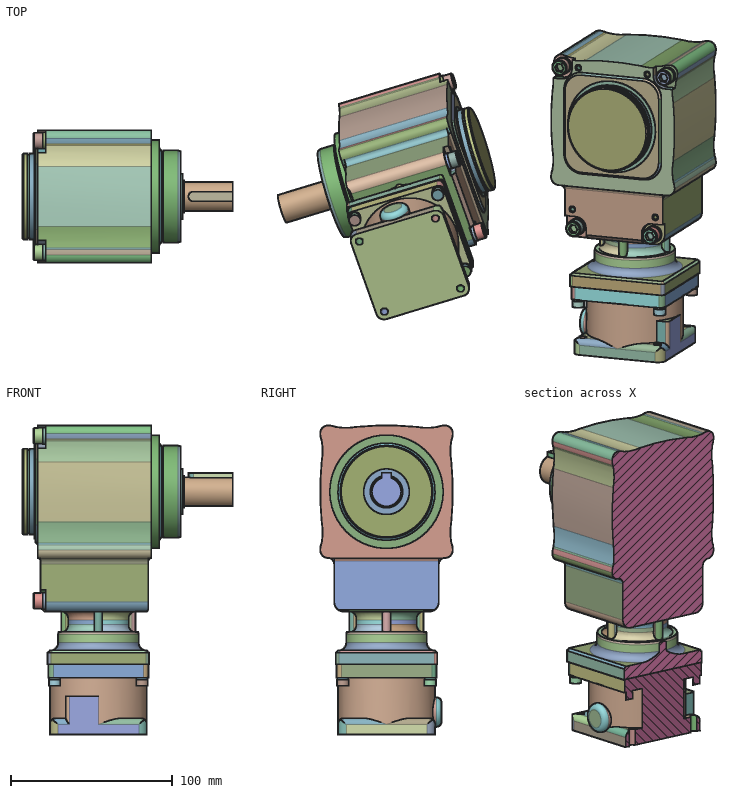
import cadquery as cq
import math


HOUSING_HALF = 41.0
HOUSING_BACK = -37.5
HOUSING_FRONT = 32.7
CORNER_RADIUS = 5.0
LOBE_TANGENT = HOUSING_HALF - CORNER_RADIUS
LOBE_MIDDLE = (34.3, 40.85)
LOBE_FOOT = (32.7, 40.5)
VALLEY_END = (31.6, 40.1)
VALLEY_MIDDLE = (25.5, 39.5)
BULGE_END = (18.5, 40.1)

BLOCK_STEP = 1.75
BLOCK_BACK = HOUSING_BACK + BLOCK_STEP
BLOCK_FRONT = HOUSING_FRONT - BLOCK_STEP
BLOCK_HALF = 32.4
BLOCK_BOTTOM = -74.1
BLOCK_CORNER_RADIUS = 6.2
BLOCK_BACK_CHAMFER = 2.6
BLOCK_FRONT_CHAMFER = 1.3
BLOCK_COVE = 3.6

SCREW_SEAT = -32.5
WASHER_THICKNESS = 1.9
WASHER_DIAMETER = 10.2
SCREW_HEAD_END = -40.1
SCREW_HEAD_DIAMETER = 9.8
SCREW_EDGE_CHAMFER = 0.6
HEX_ACROSS_CORNERS = 5.8
HEX_DEPTH = 3.0
UPPER_SCREW = (34.5, 34.5)
UPPER_SEAT_RADIUS = 7.6
LOWER_SCREW = (25.4, -67.4)
LOWER_SEAT_RADIUS = 7.0

UPPER_HOLE = (22.8, 35.0)
LOWER_HOLE = (27.5, -56.0)
THREAD_DIAMETER = 2.8
THREAD_MOUTH_DIAMETER = 4.0
THREAD_DEPTH = 6.0

PAD_HALF = 32.3
PAD_CORNER_RADIUS = 12.0
PAD_THICKNESS = 1.6
PAD_CHAMFER = 1.3
PAD_FACE = HOUSING_BACK - PAD_THICKNESS
DISC_RADIUS = 29.0
DISC_FACE = -39.5
CAP_RADIUS = 26.6
CAP_GROOVE_RADIUS = 25.8
CAP_GROOVE = (-43.8, -42.6)
CAP_END = -47.0
CAP_CHAMFER = 0.8

FLANGE_RADIUS = 35.0
FLANGE_END = 37.7
NECK_FOOT_RADIUS = 30.0
NECK_RADIUS = 27.8
NECK_START = 39.2
BOSS_START = 40.1
BOSS_RADIUS = 28.6
BOSS_CHAMFER_START = 48.9
BOSS_END_RADIUS = 28.0
BOSS_END = 50.9
SEAL_RADIUS = 14.1
SEAL_END = 52.2
LIP_RADIUS = 10.0
LIP_END = 52.9
SHAFT_RADIUS = 9.0
SHAFT_END = 83.0
KEY_WIDTH = 6.0
KEY_START = 55.6
KEY_TOP = 11.6
KEY_BOTTOM = 5.5

NECK_TOP_FLARE = 22.0
WAIST_RADIUS = 18.9
WAIST_TOP = -79.1
WAIST_BOTTOM = -81.7
RING_RADIUS = 25.0
RING_TOP = -86.6
RING_BOTTOM = -93.0
RING_CHAMFER_INSET = 0.4
RING_CHAMFER_HEIGHT = 1.3
SKIRT_RADIUS = 29.3
RIB_NOSE_RADIUS = 2.5
RIB_NOSE_CENTRE = 20.5
RIB_COUNT = 4

UPPER_PLATE = 62.8
UPPER_PLATE_TOP = -98.0
UPPER_PLATE_CORNER = 2.0
UPPER_PLATE_CHAMFER = 1.5
JOINT = -106.6
LOWER_PLATE = 62.0
LOWER_PLATE_BOTTOM = -114.8
LOWER_PLATE_CORNER = 3.2

PLATE_SCREW_PITCH = 54.0
PLATE_SCREW_DIAMETER = 7.2
PLATE_SCREW_END = -119.9
PLATE_WASHER_THICKNESS = 1.2
PLATE_WASHER_DIAMETER = 7.0
BARREL_RADIUS = 30.0
BASE_SIDE = 2 * BARREL_RADIUS
BASE_TOP = -139.8
BASE_BOTTOM = -150.0
BASE_EDGE_RADIUS = 3.8
BASE_CORNER_RADIUS = 5.0
BASE_HOLE_CIRCLE = 70.0
BASE_HOLE_DIAMETER = 4.5
POCKET_BLOCK_WIDTH = 20.0
POCKET_BLOCK_TOP = -126.2
POCKET_BLOCK_RADIUS = 2.0
PLUG_RADIUS = 9.2
PLUG_HEIGHT = -136.1
PLUG_END = 34.1
PLUG_EDGE_RADIUS = 3.5


def revolve_about_x(points):
    """Solid of revolution about X from (x, radius) points."""
    return cq.Workplane("XZ").polyline(points).close().revolve(360, (0, 0, 0), (1, 0, 0))


def rod_x(radius, start, end, y=0.0, z=0.0):
    """Cylinder along X between two X positions."""
    return cq.Workplane("YZ", origin=(start, 0, 0)).center(y, z).circle(radius).extrude(end - start)


def rod_z(radius, top, bottom, points):
    """Vertical cylinders at the given XY points."""
    return cq.Workplane("XY", origin=(0, 0, bottom)).pushPoints(points).circle(radius).extrude(top - bottom)


def square_plate(side, top, bottom):
    """Square plate centred on the input axis."""
    return cq.Workplane("XY", origin=(0, 0, bottom)).rect(side, side).extrude(top - bottom)


def mirrored_pair(position):
    """The (y, z) position and its mirror image across the XZ plane."""
    across, height = position
    return [(across, height), (-across, height)]


def bulged_side(profile, place):
    """Draw one waved side, from the end of one corner lobe to the start of the next."""
    def at(point, sign):
        return place(sign * point[0], point[1])

    tangent = (LOBE_TANGENT, HOUSING_HALF)
    return (
        profile
        .threePointArc(at(LOBE_MIDDLE, -1), at(LOBE_FOOT, -1))
        .lineTo(*at(VALLEY_END, -1))
        .threePointArc(at(VALLEY_MIDDLE, -1), at(BULGE_END, -1))
        .threePointArc(place(0, HOUSING_HALF), at(BULGE_END, 1))
        .threePointArc(at(VALLEY_MIDDLE, 1), at(VALLEY_END, 1))
        .lineTo(*at(LOBE_FOOT, 1))
        .threePointArc(at(LOBE_MIDDLE, 1), at(tangent, 1))
    )


def make_housing():
    """Square housing with waved sides and top, and a flat underside."""
    middle = LOBE_TANGENT + CORNER_RADIUS * math.sqrt(0.5)
    profile = cq.Workplane("YZ", origin=(HOUSING_BACK, 0, 0)).moveTo(-HOUSING_HALF, -LOBE_TANGENT)
    profile = bulged_side(profile, lambda along, out: (-out, along))
    profile = profile.threePointArc((-middle, middle), (-LOBE_TANGENT, HOUSING_HALF))
    profile = bulged_side(profile, lambda along, out: (along, out))
    profile = profile.threePointArc((middle, middle), (HOUSING_HALF, LOBE_TANGENT))
    profile = bulged_side(profile, lambda along, out: (out, -along))
    profile = profile.threePointArc((middle, -middle), (LOBE_TANGENT, -HOUSING_HALF))
    profile = profile.lineTo(-LOBE_TANGENT, -HOUSING_HALF)
    profile = profile.threePointArc((-middle, -middle), (-HOUSING_HALF, -LOBE_TANGENT))
    return profile.close().extrude(HOUSING_FRONT - HOUSING_BACK)


def cove(plane, origin, corner, sideways, radius, length):
    """Concave quarter-round strip under the housing, beside the lower block."""
    across, height = corner
    middle = radius * (1 - math.sqrt(0.5))
    return (
        cq.Workplane(plane, origin=origin)
        .moveTo(across, height)
        .lineTo(across + sideways * radius, height)
        .threePointArc((across + sideways * middle, height - middle), (across, height - radius))
        .close()
        .extrude(length)
    )


def make_lower_block():
    """Block under the housing that carries the input neck, with coves at the housing."""
    length = BLOCK_FRONT - BLOCK_BACK
    block = (
        cq.Workplane("XY", origin=((BLOCK_FRONT + BLOCK_BACK) / 2, 0, BLOCK_BOTTOM))
        .rect(length, 2 * BLOCK_HALF)
        .extrude(-HOUSING_HALF - BLOCK_BOTTOM)
        .faces("<Z").edges("<X").chamfer(BLOCK_BACK_CHAMFER)
        .faces("<Z").edges(">X").chamfer(BLOCK_FRONT_CHAMFER)
        .edges("|X and (<Y or >Y)").edges("<Z").fillet(BLOCK_CORNER_RADIUS)
    )
    for side in (-1, 1):
        corner = (side * BLOCK_HALF, -HOUSING_HALF)
        block = block.union(cove("YZ", (BLOCK_BACK, 0, 0), corner, side, BLOCK_COVE, length))
    for end, outward in ((BLOCK_BACK, -1), (BLOCK_FRONT, 1)):
        corner = (end, -HOUSING_HALF)
        start = (0, BLOCK_HALF, 0)
        block = block.union(cove("XZ", start, corner, outward, BLOCK_STEP, 2 * BLOCK_HALF))
    return block


def screw_seat(position, radius):
    """Corner cut around a screw: round on the inside, open towards the outer corner."""
    y, z = position
    reach = 2 * radius
    depth = SCREW_SEAT - HOUSING_BACK
    out_y = math.copysign(1, y)
    out_z = math.copysign(1, z)
    plane = cq.Workplane("YZ", origin=(HOUSING_BACK, 0, 0))
    cut = plane.center(y, z).circle(radius).extrude(depth)
    beside = plane.center(y + out_y * reach / 2, z).rect(reach, 2 * radius).extrude(depth)
    beyond = plane.center(y, z + out_z * reach / 2).rect(2 * radius, reach).extrude(depth)
    corner = plane.center(y + out_y * reach / 2, z + out_z * reach / 2).rect(reach, reach).extrude(depth)
    return cut.union(beside).union(beyond).union(corner)


def cover_screw(position):
    """Socket head screw on its washer."""
    y, z = position
    washer_face = SCREW_SEAT - WASHER_THICKNESS
    washer = rod_x(WASHER_DIAMETER / 2, washer_face, SCREW_SEAT, y, z)
    head = (
        rod_x(SCREW_HEAD_DIAMETER / 2, SCREW_HEAD_END, washer_face, y, z)
        .faces("<X").edges().chamfer(SCREW_EDGE_CHAMFER)
    )
    socket = (
        cq.Workplane("YZ", origin=(SCREW_HEAD_END, 0, 0))
        .center(y, z).polygon(6, HEX_ACROSS_CORNERS).extrude(HEX_DEPTH)
    )
    return washer.union(head.cut(socket))


def threaded_hole(position, face):
    """Blind hole with a countersunk mouth, cut from a face of the cover."""
    y, z = position
    mouth = THREAD_MOUTH_DIAMETER / 2
    core = THREAD_DIAMETER / 2
    profile = [(face, 0), (face, mouth), (face + mouth - core, core),
               (face + THREAD_DEPTH, core), (face + THREAD_DEPTH, 0)]
    return revolve_about_x(profile).translate((0, y, z))


def make_back_pad():
    """Rounded square pad with a disc on it, and the grooved round cap."""
    pad = (
        cq.Workplane("YZ", origin=(PAD_FACE, 0, 0))
        .rect(2 * PAD_HALF, 2 * PAD_HALF).extrude(PAD_THICKNESS)
        .edges("|X").fillet(PAD_CORNER_RADIUS)
        .faces("<X").edges().chamfer(PAD_CHAMFER)
    )
    groove_start, groove_end = CAP_GROOVE
    cap = revolve_about_x([
        (CAP_END, 0),
        (CAP_END, CAP_RADIUS - CAP_CHAMFER),
        (CAP_END + CAP_CHAMFER, CAP_RADIUS),
        (groove_start, CAP_RADIUS),
        (groove_start, CAP_GROOVE_RADIUS),
        (groove_end, CAP_GROOVE_RADIUS),
        (groove_end, CAP_RADIUS),
        (DISC_FACE, CAP_RADIUS),
        (DISC_FACE, DISC_RADIUS),
        (PAD_FACE, DISC_RADIUS),
        (PAD_FACE, 0),
    ])
    return pad.union(cap)


def make_output():
    """Output flange, boss, seal, shaft and its key."""
    turned = revolve_about_x([
        (HOUSING_FRONT, 0),
        (HOUSING_FRONT, FLANGE_RADIUS),
        (FLANGE_END, FLANGE_RADIUS),
        (FLANGE_END, NECK_FOOT_RADIUS),
        (NECK_START, NECK_RADIUS),
        (BOSS_START, NECK_RADIUS),
        (BOSS_START, BOSS_RADIUS),
        (BOSS_CHAMFER_START, BOSS_RADIUS),
        (BOSS_END, BOSS_END_RADIUS),
        (BOSS_END, SEAL_RADIUS),
        (SEAL_END, SEAL_RADIUS),
        (SEAL_END, LIP_RADIUS),
        (LIP_END, LIP_RADIUS),
        (LIP_END, SHAFT_RADIUS),
        (SHAFT_END, SHAFT_RADIUS),
        (SHAFT_END, 0),
    ])
    round_centre = KEY_START + KEY_WIDTH / 2
    key = (
        cq.Workplane("XY", origin=(0, 0, KEY_BOTTOM))
        .moveTo(SHAFT_END, -KEY_WIDTH / 2)
        .lineTo(round_centre, -KEY_WIDTH / 2)
        .threePointArc((KEY_START, 0), (round_centre, KEY_WIDTH / 2))
        .lineTo(SHAFT_END, KEY_WIDTH / 2)
        .close()
        .extrude(KEY_TOP - KEY_BOTTOM)
    )
    return turned.union(key)


def make_rib():
    """Upright rib from the input axis outwards along +X, with a round nose."""
    return (
        cq.Workplane("XY", origin=(0, 0, RING_TOP))
        .moveTo(0, -RIB_NOSE_RADIUS)
        .lineTo(RIB_NOSE_CENTRE, -RIB_NOSE_RADIUS)
        .threePointArc((RIB_NOSE_CENTRE + RIB_NOSE_RADIUS, 0), (RIB_NOSE_CENTRE, RIB_NOSE_RADIUS))
        .lineTo(0, RIB_NOSE_RADIUS)
        .close()
        .extrude(BLOCK_BOTTOM - RING_TOP)
    )


def make_input_neck():
    """Waisted neck with ribs, a ring and a flared skirt down to the square plate."""
    flare = NECK_TOP_FLARE - WAIST_RADIUS
    near = WAIST_RADIUS + flare * (1 - math.sqrt(0.5))
    top_middle = WAIST_TOP + (BLOCK_BOTTOM - WAIST_TOP) * math.sqrt(0.5)
    low_middle = WAIST_BOTTOM + (RING_TOP - WAIST_BOTTOM) * math.sqrt(0.5)
    skirt_middle = (
        RING_RADIUS + (SKIRT_RADIUS - RING_RADIUS) * (1 - math.sqrt(0.5)),
        RING_BOTTOM + (UPPER_PLATE_TOP - RING_BOTTOM) * math.sqrt(0.5),
    )
    neck = (
        cq.Workplane("XZ")
        .moveTo(0, BLOCK_BOTTOM)
        .lineTo(NECK_TOP_FLARE, BLOCK_BOTTOM)
        .threePointArc((near, top_middle), (WAIST_RADIUS, WAIST_TOP))
        .lineTo(WAIST_RADIUS, WAIST_BOTTOM)
        .threePointArc((near, low_middle), (NECK_TOP_FLARE, RING_TOP))
        .lineTo(RING_RADIUS - RING_CHAMFER_INSET, RING_TOP)
        .lineTo(RING_RADIUS, RING_TOP - RING_CHAMFER_HEIGHT)
        .lineTo(RING_RADIUS, RING_BOTTOM)
        .threePointArc(skirt_middle, (SKIRT_RADIUS, UPPER_PLATE_TOP))
        .lineTo(0, UPPER_PLATE_TOP)
        .close()
        .revolve(360, (0, 0, 0), (0, 1, 0))
    )
    plate = (
        square_plate(UPPER_PLATE, UPPER_PLATE_TOP, JOINT)
        .edges("|Z").fillet(UPPER_PLATE_CORNER)
        .faces(">Z").edges().chamfer(UPPER_PLATE_CHAMFER)
    )
    for index in range(RIB_COUNT):
        neck = neck.union(make_rib().rotate((0, 0, 0), (0, 0, 1), index * 360 / RIB_COUNT))
    return neck.union(plate)


def make_gearhead():
    """Housing, block, pad, output, neck and cover screws as one solid."""
    body = make_housing().union(make_lower_block())
    screws = [(position, UPPER_SEAT_RADIUS) for position in mirrored_pair(UPPER_SCREW)]
    screws += [(position, LOWER_SEAT_RADIUS) for position in mirrored_pair(LOWER_SCREW)]
    for position, seat_radius in screws:
        body = body.cut(screw_seat(position, seat_radius))
    for position in mirrored_pair(UPPER_HOLE):
        body = body.cut(threaded_hole(position, HOUSING_BACK))
    for position in mirrored_pair(LOWER_HOLE):
        body = body.cut(threaded_hole(position, BLOCK_BACK))
    body = body.union(make_back_pad()).union(make_output()).union(make_input_neck())
    for position, _ in screws:
        body = body.union(cover_screw(position))
    return body


def square_corners(pitch):
    """Four XY points at the corners of a centred square."""
    half = pitch / 2
    return [(x, y) for x in (-half, half) for y in (-half, half)]


def make_base():
    """Square motor flange with rounded top edges, rounded corners and screw holes."""
    blank = square_plate(BASE_SIDE, BASE_TOP, BASE_BOTTOM).faces(">Z").edges().fillet(BASE_EDGE_RADIUS)
    outline = square_plate(BASE_SIDE, BASE_TOP, BASE_BOTTOM).edges("|Z").fillet(BASE_CORNER_RADIUS)
    hole_points = square_corners(BASE_HOLE_CIRCLE * math.sqrt(0.5))
    return blank.intersect(outline).cut(rod_z(BASE_HOLE_DIAMETER / 2, BASE_TOP, BASE_BOTTOM, hole_points))


def make_pocket_block():
    """Flat-faced block on the -Y side of the barrel, flush with the base."""
    return (
        cq.Workplane("XY", origin=(-POCKET_BLOCK_WIDTH / 2, -BARREL_RADIUS / 2, BASE_BOTTOM))
        .rect(POCKET_BLOCK_WIDTH, BARREL_RADIUS)
        .extrude(POCKET_BLOCK_TOP - BASE_BOTTOM)
        .edges("|Z and <X and <Y").fillet(POCKET_BLOCK_RADIUS)
    )


def make_plug():
    """Domed access plug on the +Y side of the barrel."""
    return (
        cq.Workplane("XZ", origin=(0, PLUG_END, PLUG_HEIGHT))
        .circle(PLUG_RADIUS).extrude(PLUG_END - BARREL_RADIUS / 2)
        .faces(">Y").edges().fillet(PLUG_EDGE_RADIUS)
    )


def make_adapter():
    """Plate with screws, barrel, base, block and plug as one solid."""
    plate = square_plate(LOWER_PLATE, JOINT, LOWER_PLATE_BOTTOM).edges("|Z").fillet(LOWER_PLATE_CORNER)
    barrel = rod_z(BARREL_RADIUS, LOWER_PLATE_BOTTOM, BASE_BOTTOM, [(0, 0)])
    screw_points = square_corners(PLATE_SCREW_PITCH)
    washer_end = LOWER_PLATE_BOTTOM - PLATE_WASHER_THICKNESS
    washers = rod_z(PLATE_WASHER_DIAMETER / 2, LOWER_PLATE_BOTTOM, washer_end, screw_points)
    heads = rod_z(PLATE_SCREW_DIAMETER / 2, washer_end, PLATE_SCREW_END, screw_points)
    body = plate.union(barrel).union(make_base()).union(washers).union(heads)
    return body.union(make_pocket_block()).union(make_plug())


gearhead = make_gearhead()
adapter = make_adapter()
result = cq.Compound.makeCompound([gearhead.val(), adapter.val()])